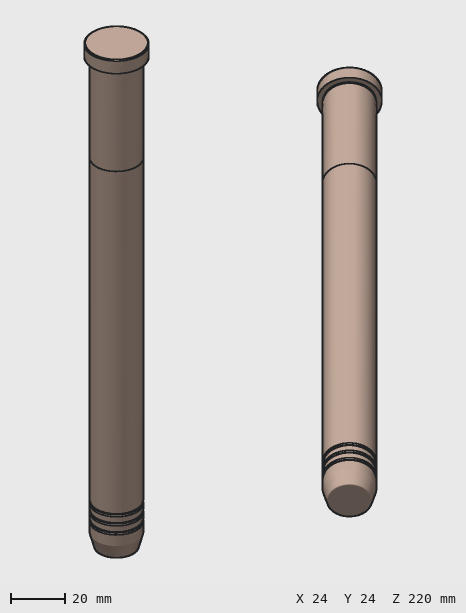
import cadquery as cq
import math

total_length = 220.0
head_diameter = 24.0
head_height = 6.0
head_chamfer = 0.5
shaft_diameter = 20.0

relief_width = 0.7
relief_depth = 0.2

joint_depth = 50.0

groove_count = 3
groove_width = 1.3
groove_depth = 0.33
groove_pitch = 4.0
lowest_groove_height = 11.9

taper_height = 6.4
taper_angle = 15.0
tip_fillet = 0.5

joint_height = total_length - joint_depth
shaft_radius = shaft_diameter / 2
tip_radius = shaft_radius - taper_height * math.tan(math.radians(taper_angle))


def make_headed_section():
    """Upper body: a round shank with a relief groove under its wider, chamfered head."""
    head_bottom = total_length - head_height
    relief_bottom = head_bottom - relief_width
    relief_radius = shaft_radius - relief_depth
    return (
        cq.Workplane("XZ")
        .moveTo(0, joint_height)
        .lineTo(shaft_radius, joint_height)
        .lineTo(shaft_radius, relief_bottom)
        .lineTo(relief_radius, relief_bottom)
        .lineTo(relief_radius, head_bottom)
        .lineTo(head_diameter / 2, head_bottom)
        .lineTo(head_diameter / 2, total_length - head_chamfer)
        .lineTo(head_diameter / 2 - head_chamfer, total_length)
        .lineTo(0, total_length)
        .close()
        .revolve(360, (0, 0, 0), (0, 1, 0))
    )


def make_groove(center_height):
    """Ring of triangular section that cuts one shallow V-groove around the guide section."""
    return (
        cq.Workplane("XZ")
        .moveTo(shaft_radius - groove_depth, center_height)
        .lineTo(shaft_radius, center_height + groove_width / 2)
        .lineTo(shaft_radius, center_height - groove_width / 2)
        .close()
        .revolve(360, (0, 0, 0), (0, 1, 0))
    )


def make_guide_section():
    """Lower body: a round guide with a tapered, rounded tip and a row of grooves."""
    guide = (
        cq.Workplane("XZ")
        .moveTo(0, 0)
        .lineTo(tip_radius, 0)
        .lineTo(shaft_radius, taper_height)
        .lineTo(shaft_radius, joint_height)
        .lineTo(0, joint_height)
        .close()
        .revolve(360, (0, 0, 0), (0, 1, 0))
    )
    guide = guide.faces("<Z").edges().fillet(tip_fillet)
    for index in range(groove_count):
        guide = guide.cut(make_groove(lowest_groove_height + index * groove_pitch))
    return guide


headed_section = make_headed_section()
guide_section = make_guide_section()

result = cq.Compound.makeCompound([headed_section.val(), guide_section.val()])